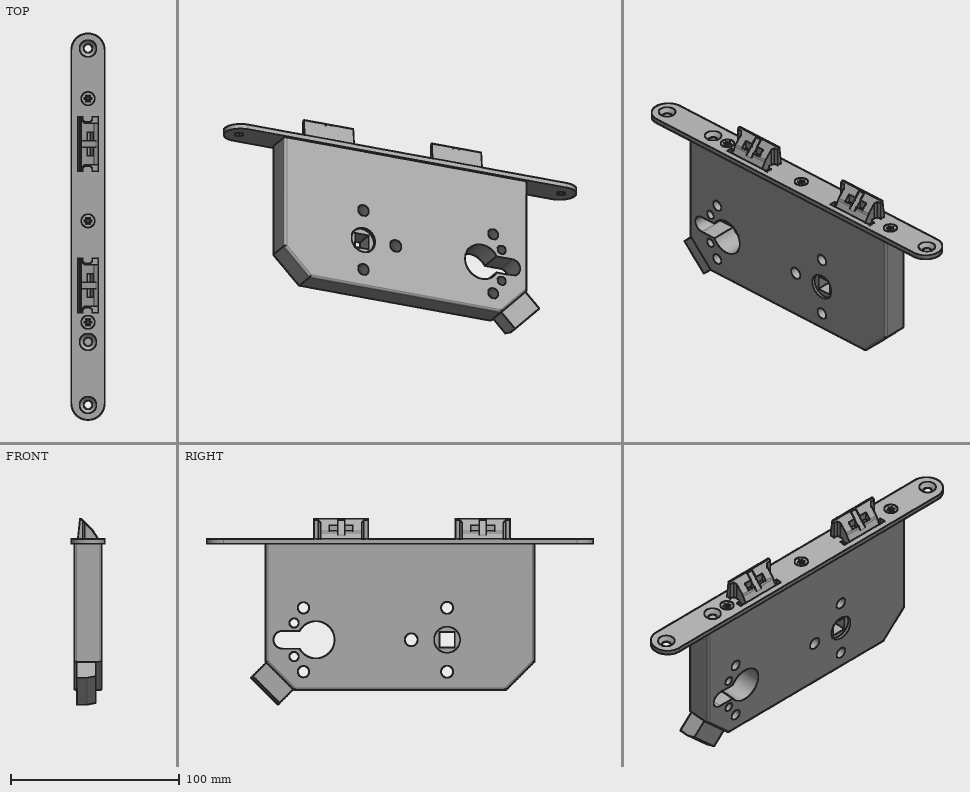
import cadquery as cq


PLATE_LENGTH = 230.0
PLATE_WIDTH = 20.0
PLATE_THICKNESS = 3.0
MOUNTING_HOLE_Y = 106.0
SINK_HOLE_YS = (MOUNTING_HOLE_Y, -68.5, -MOUNTING_HOLE_Y)
SINK_DIAMETER = 10.0
SINK_HOLE_DIAMETER = 5.0
SINK_DEPTH = (SINK_DIAMETER - SINK_HOLE_DIAMETER) / 2
SCREW_YS = (76.2, 3.5, -56.8)
SCREW_DIAMETER = 8.0
SCREW_RECESS = 0.3
STAR_LENGTH = 4.4
STAR_ARM_WIDTH = 0.8
STAR_SLOTS = 3
STAR_DEPTH = 1.5

CASE_LENGTH = 160.0
CASE_WIDTH = 16.5
CASE_BOTTOM = -90.0
CASE_CORNER = 17.0
CASE_EDGE_RADIUS = 1.4
AXIS_Z = -60.0
SPINDLE_Y = 28.0
SPINDLE_SQUARE = 9.0
HUB_DIAMETER = 15.5
HUB_RECESS = 2.0
ROSE_OFFSET_Z = 19.0
HANDLE_ROSE_DIAMETER = 7.0
SPARE_HOLE_Y = 6.7
SPARE_HOLE_DIAMETER = 7.5
CYLINDER_Y = -50.0
CYLINDER_DIAMETER = 22.0
CYLINDER_SLOT_WIDTH = 10.4
CYLINDER_SLOT_Y = -70.0
CYLINDER_ROSE_Y = -57.4
CYLINDER_ROSE_DIAMETER = 6.6
CYLINDER_PIN_Y = -63.0
CYLINDER_PIN_OFFSET_Z = 10.0
CYLINDER_PIN_DIAMETER = 5.4

LATCH_YS = (49.2, -35.0)
LATCH_LENGTH = 32.5
LATCH_HEIGHT = 12.0
LATCH_FRONT_X = -6.1
LATCH_BACK_X = 6.1
TIP_FRONT_X = -4.8
TIP_BACK_X = -4.1
SLOPE_END_X = 3.0
HEEL_X = 3.7
HEEL_Z = 3.6
LIP_BACK_X = -3.1
LATCH_BODY_X = -1.8
LATCH_END_STEP = 4.0
GROOVE_WIDTH = 4.0
GROOVE_DROP = 1.0
POCKET_START_X = -0.3
POCKET_BOTTOM_X = 1.2
POCKET_DROP = 5.0
POCKET_WIDTH = 5.0
TONGUE_CENTRE_X = -0.3
TONGUE_WIDTH = 5.5
TONGUE_LENGTH = 3.0
TONGUE_CORNER = 1.0

BOLT_WIDTH = 22.6
BOLT_LENGTH = 12.95
BOLT_FRONT_X = -6.6
BOLT_BACK_X = 4.7
BOLT_BEVEL_START_X = -0.7
BOLT_BEVEL_DEPTH = 1.5
BOLT_TILT = 45.0

CASE_TOP = -PLATE_THICKNESS


def cylinder_along_x(y, z, diameter):
    return (
        cq.Workplane("YZ")
        .center(y, z)
        .circle(diameter / 2)
        .extrude(CASE_WIDTH, both=True)
    )


def box_between(x_range, y_range, z_range):
    size = [high - low for low, high in (x_range, y_range, z_range)]
    corner = (x_range[0], y_range[0], z_range[0])
    return cq.Workplane("XY").box(*size, centered=False).translate(corner)


def make_latch_opening():
    """A rectangular opening narrowed at both ends by a tongue of the plate."""
    opening = box_between(
        (LATCH_FRONT_X, LATCH_BACK_X),
        (-LATCH_LENGTH / 2, LATCH_LENGTH / 2),
        (CASE_TOP, 0),
    )
    for side in (-1, 1):
        tongue = (
            cq.Workplane("XY", origin=(TONGUE_CENTRE_X, side * LATCH_LENGTH / 2, CASE_TOP))
            .rect(TONGUE_WIDTH, 2 * TONGUE_LENGTH)
            .extrude(PLATE_THICKNESS)
            .edges("|Z")
            .chamfer(TONGUE_CORNER)
        )
        opening = opening.cut(tongue)
    return opening


def make_screw_recess():
    recess = cq.Workplane("XY").circle(SCREW_DIAMETER / 2).extrude(-SCREW_RECESS)
    for index in range(STAR_SLOTS):
        star_slot = (
            cq.Workplane("XY")
            .slot2D(STAR_LENGTH, STAR_ARM_WIDTH, index * 180 / STAR_SLOTS)
            .extrude(-STAR_DEPTH)
        )
        recess = recess.union(star_slot)
    return recess


def make_plate():
    plate = cq.Workplane("XY").slot2D(PLATE_LENGTH, PLATE_WIDTH, 90).extrude(CASE_TOP)
    sink = (
        cq.Workplane("XY")
        .circle(SINK_DIAMETER / 2)
        .workplane(offset=-SINK_DEPTH)
        .circle(SINK_HOLE_DIAMETER / 2)
        .loft()
        .union(cq.Workplane("XY").circle(SINK_HOLE_DIAMETER / 2).extrude(CASE_TOP))
    )
    for y in SINK_HOLE_YS:
        plate = plate.cut(sink.translate((0, y, 0)))
    screw_recess = make_screw_recess()
    for y in SCREW_YS:
        plate = plate.cut(screw_recess.translate((0, y, 0)))
    opening = make_latch_opening()
    for y in LATCH_YS:
        plate = plate.cut(opening.translate((0, y, 0)))
    return plate


def make_case():
    half_length = CASE_LENGTH / 2
    corner_z = CASE_BOTTOM + CASE_CORNER
    case = (
        cq.Workplane("YZ")
        .moveTo(-half_length, CASE_TOP)
        .lineTo(-half_length, corner_z)
        .lineTo(-half_length + CASE_CORNER, CASE_BOTTOM)
        .lineTo(half_length - CASE_CORNER, CASE_BOTTOM)
        .lineTo(half_length, corner_z)
        .lineTo(half_length, CASE_TOP)
        .close()
        .extrude(CASE_WIDTH / 2, both=True)
    )
    case = case.faces("<X or >X").edges("not >Z").fillet(CASE_EDGE_RADIUS)

    spindle = (
        cq.Workplane("YZ")
        .center(SPINDLE_Y, AXIS_Z)
        .rect(SPINDLE_SQUARE, SPINDLE_SQUARE)
        .extrude(CASE_WIDTH, both=True)
    )
    case = case.cut(spindle)
    hub_core = (
        cq.Workplane("YZ")
        .center(SPINDLE_Y, AXIS_Z)
        .circle(HUB_DIAMETER / 2)
        .extrude(CASE_WIDTH / 2 - HUB_RECESS, both=True)
    )
    hub_recesses = cylinder_along_x(SPINDLE_Y, AXIS_Z, HUB_DIAMETER).cut(hub_core)
    case = case.cut(hub_recesses)

    slot = (
        cq.Workplane("YZ")
        .center((CYLINDER_Y + CYLINDER_SLOT_Y) / 2, AXIS_Z)
        .slot2D(CYLINDER_Y - CYLINDER_SLOT_Y + CYLINDER_SLOT_WIDTH, CYLINDER_SLOT_WIDTH)
        .extrude(CASE_WIDTH, both=True)
    )
    case = case.cut(slot).cut(cylinder_along_x(CYLINDER_Y, AXIS_Z, CYLINDER_DIAMETER))

    case = case.cut(cylinder_along_x(SPARE_HOLE_Y, AXIS_Z, SPARE_HOLE_DIAMETER))
    for y, offset_z, diameter in (
        (SPINDLE_Y, ROSE_OFFSET_Z, HANDLE_ROSE_DIAMETER),
        (CYLINDER_ROSE_Y, ROSE_OFFSET_Z, CYLINDER_ROSE_DIAMETER),
        (CYLINDER_PIN_Y, CYLINDER_PIN_OFFSET_Z, CYLINDER_PIN_DIAMETER),
    ):
        for side in (-1, 1):
            case = case.cut(cylinder_along_x(y, AXIS_Z + side * offset_z, diameter))
    return case


def slope_z(x):
    """Height of the latch's 45 degree face at x."""
    return LATCH_HEIGHT - (x - TIP_BACK_X)


def make_latch():
    """A latch centred on Y = 0, standing on the case and passing through the plate."""
    slope_end_z = slope_z(SLOPE_END_X)
    latch = (
        cq.Workplane("XZ")
        .moveTo(LATCH_FRONT_X, CASE_TOP)
        .lineTo(LATCH_FRONT_X, 0)
        .lineTo(TIP_FRONT_X, LATCH_HEIGHT)
        .lineTo(TIP_BACK_X, LATCH_HEIGHT)
        .lineTo(SLOPE_END_X, slope_end_z)
        .lineTo(HEEL_X, HEEL_Z)
        .lineTo(LATCH_BACK_X, 0)
        .lineTo(LATCH_BACK_X, CASE_TOP)
        .close()
        .extrude(LATCH_LENGTH / 2, both=True)
    )

    half_length = LATCH_LENGTH / 2
    for side in (-1, 1):
        end_step = (
            cq.Workplane("XY", origin=(0, 0, CASE_TOP))
            .moveTo(LIP_BACK_X, side * half_length)
            .lineTo(LIP_BACK_X, side * (half_length - LATCH_END_STEP + LATCH_BODY_X - LIP_BACK_X))
            .lineTo(LATCH_BODY_X, side * (half_length - LATCH_END_STEP))
            .lineTo(LATCH_BACK_X, side * (half_length - LATCH_END_STEP))
            .lineTo(LATCH_BACK_X, side * half_length)
            .close()
            .extrude(LATCH_HEIGHT - CASE_TOP)
        )
        latch = latch.cut(end_step)

    groove = (
        cq.Workplane("XZ")
        .moveTo(TIP_BACK_X, slope_z(TIP_BACK_X) - GROOVE_DROP)
        .lineTo(LATCH_BACK_X, slope_z(LATCH_BACK_X) - GROOVE_DROP)
        .lineTo(LATCH_BACK_X, LATCH_HEIGHT)
        .lineTo(TIP_BACK_X, LATCH_HEIGHT)
        .close()
        .extrude(GROOVE_WIDTH / 2, both=True)
    )

    pockets = (
        cq.Workplane("XZ")
        .moveTo(POCKET_START_X, slope_z(POCKET_START_X))
        .lineTo(POCKET_START_X, slope_z(POCKET_START_X) - POCKET_DROP)
        .lineTo(POCKET_BOTTOM_X, slope_z(POCKET_BOTTOM_X) - POCKET_DROP)
        .lineTo(SLOPE_END_X, slope_end_z)
        .close()
        .extrude(GROOVE_WIDTH / 2 + POCKET_WIDTH, both=True)
        .cut(cq.Workplane("XY").box(PLATE_WIDTH, GROOVE_WIDTH, 2 * LATCH_HEIGHT))
    )
    return latch.cut(groove).cut(pockets)


def make_bolt():
    """A bevelled bolt standing on the slanted lower corner of the case at -Y."""
    bolt = (
        cq.Workplane("XY")
        .moveTo(BOLT_FRONT_X, 0)
        .lineTo(BOLT_FRONT_X, -BOLT_LENGTH)
        .lineTo(BOLT_BEVEL_START_X, -BOLT_LENGTH)
        .lineTo(BOLT_BACK_X, -BOLT_LENGTH + BOLT_BEVEL_DEPTH)
        .lineTo(BOLT_BACK_X, 0)
        .close()
        .extrude(BOLT_WIDTH / 2, both=True)
    )
    corner_middle = (
        0,
        -CASE_LENGTH / 2 + CASE_CORNER / 2,
        CASE_BOTTOM + CASE_CORNER / 2,
    )
    return bolt.rotate((0, 0, 0), (1, 0, 0), BOLT_TILT).translate(corner_middle)


plate = make_plate()
case = make_case()
latch = make_latch()
latches = [latch.translate((0, y, 0)) for y in LATCH_YS]
bolt = make_bolt()

result = cq.Compound.makeCompound(
    [plate.val(), case.val(), *[part.val() for part in latches], bolt.val()]
)